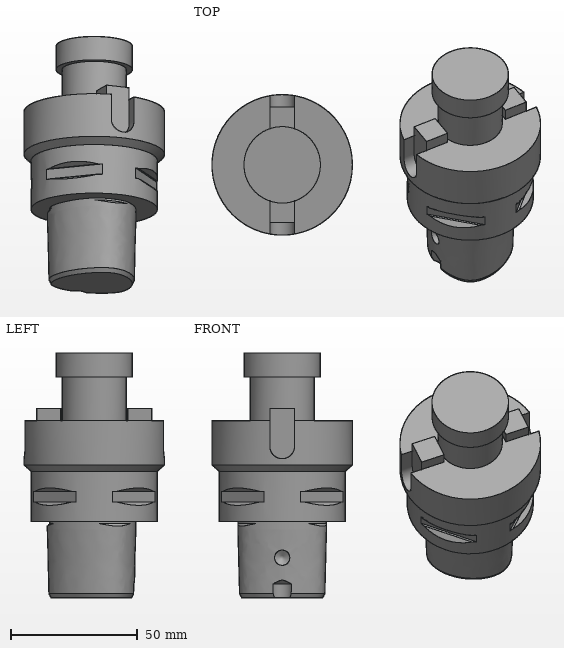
import cadquery as cq
import math

TOTAL_HEIGHT = 96.85
HEAD_BOTTOM = 87.3
KEY_TOP = 74.9
FLANGE_TOP = 70.0
FLANGE_BOTTOM = 52.6
BODY_TOP = 50.0
SHOULDER = 30.1
NECK_BOTTOM = 26.9
END_CHAMFER_HEIGHT = 1.7

HEAD_RADIUS = 15.1
PILOT_RADIUS = 12.7
FLANGE_RADIUS = 27.8
BODY_RADIUS = 25.0

KEY_WIDTH = 9.8
KEY_INNER = 13.2
KEY_OUTER = 22.8
SLOT_BOTTOM = 55.0

GRIP_HEIGHT = 40.0
GRIP_FLAT_DISTANCE = 22.0
GRIP_FLAT_HEIGHT = 4.2
GRIP_MOUTH_HEIGHT = 6.9
GRIP_LEDGE = 0.8

SHANK_RADIUS = 17.5
LOBE_RISE = 1.1
SHANK_TAPER = 1 / 40
END_CHAMFER = 0.9
PROFILE_POINTS = 72

RELIEF_RADIUS = 17.6
RELIEF_STRAIGHT = 0.8
RELIEF_HEIGHT = 2.2
RELIEF_OUTER = 19.4

DRILL_TIP_ANGLE = 118
HOLE_RADIUS = 3.0
HOLE_HEIGHT = 15.9
HOLE_BOTTOM_Y = 12.8
NOTCH_RADIUS = 4.1
NOTCH_HEIGHT = 5.5
NOTCH_CENTER_Y = 17.5

CLEARANCE = 9.7


def lobed_wire(radius, height):
    """Constant-width outline with a lobe toward +Y, from its support function."""
    points = []
    for i in range(PROFILE_POINTS):
        angle = 2 * math.pi * i / PROFILE_POINTS
        phase = 3 * (angle - math.pi / 2)
        support = radius + LOBE_RISE * math.cos(phase)
        slope = -3 * LOBE_RISE * math.sin(phase)
        x = support * math.cos(angle) - slope * math.sin(angle)
        y = support * math.sin(angle) + slope * math.cos(angle)
        points.append(cq.Vector(x, y, height))
    return cq.Wire.assembleEdges([cq.Edge.makeSpline(points, periodic=True)])


def lobed_section(bottom_radius, bottom, top_radius, top):
    wires = [lobed_wire(bottom_radius, bottom), lobed_wire(top_radius, top)]
    return cq.Workplane(obj=cq.Solid.makeLoft(wires, True))


def drill(radius, length):
    """Drill along +Z with its conical tip above the straight length."""
    tip = radius / math.tan(math.radians(DRILL_TIP_ANGLE / 2))
    outline = [(0, 0), (radius, 0), (radius, length), (0, length + tip)]
    return cq.Workplane("XZ").polyline(outline).close().revolve(360, (0, 0), (0, 1))


def upper_part():
    outline = [
        (0, SHOULDER),
        (BODY_RADIUS, SHOULDER),
        (BODY_RADIUS, BODY_TOP),
        (FLANGE_RADIUS, FLANGE_BOTTOM),
        (FLANGE_RADIUS, FLANGE_TOP),
        (PILOT_RADIUS, FLANGE_TOP),
        (PILOT_RADIUS, HEAD_BOTTOM),
        (HEAD_RADIUS, HEAD_BOTTOM),
        (HEAD_RADIUS, TOTAL_HEIGHT),
        (0, TOTAL_HEIGHT),
    ]
    return cq.Workplane("XZ").polyline(outline).close().revolve(360, (0, 0), (0, 1))


def shank():
    chamfer_radius = SHANK_RADIUS - SHANK_TAPER * (NECK_BOTTOM - END_CHAMFER_HEIGHT)
    end_radius = chamfer_radius - END_CHAMFER
    end = lobed_section(end_radius, 0, chamfer_radius, END_CHAMFER_HEIGHT)
    taper = lobed_section(chamfer_radius, END_CHAMFER_HEIGHT, SHANK_RADIUS, NECK_BOTTOM)
    neck = lobed_section(SHANK_RADIUS, NECK_BOTTOM, SHANK_RADIUS, SHOULDER)
    return end.union(taper).union(neck)


def lobe_relief():
    cone_height = RELIEF_HEIGHT - RELIEF_STRAIGHT
    outline = [
        (RELIEF_RADIUS, SHOULDER),
        (RELIEF_RADIUS, SHOULDER - RELIEF_STRAIGHT),
        (RELIEF_RADIUS + cone_height, SHOULDER - RELIEF_HEIGHT),
        (RELIEF_OUTER + cone_height, SHOULDER - RELIEF_HEIGHT),
        (RELIEF_OUTER + cone_height, SHOULDER),
    ]
    return cq.Workplane("XZ").polyline(outline).close().revolve(360, (0, 0), (0, 1))


def key_slot():
    """Round-bottomed slot on the -Y side, outside the key."""
    radius = KEY_WIDTH / 2
    center = SLOT_BOTTOM + radius
    top = FLANGE_TOP + CLEARANCE
    return (
        cq.Workplane("XZ", origin=(0, -KEY_OUTER, 0))
        .moveTo(-radius, top)
        .lineTo(-radius, center)
        .threePointArc((0, SLOT_BOTTOM), (radius, center))
        .lineTo(radius, top)
        .close()
        .extrude(CLEARANCE)
    )


def drive_key():
    """Part of the key on the -Y side that stands above the flange."""
    middle = (KEY_INNER + KEY_OUTER) / 2
    return (
        cq.Workplane("XY", origin=(0, -middle, FLANGE_TOP))
        .rect(KEY_WIDTH, KEY_OUTER - KEY_INNER)
        .extrude(KEY_TOP - FLANGE_TOP)
    )


def grip_groove():
    """Flat-bottomed groove with square, then flared walls on the +X side."""
    ledge_end = GRIP_FLAT_DISTANCE + GRIP_LEDGE
    depth = BODY_RADIUS - ledge_end
    flare = (GRIP_MOUTH_HEIGHT - GRIP_FLAT_HEIGHT) / 2 / depth
    outer = BODY_RADIUS + 1
    half_inner = GRIP_FLAT_HEIGHT / 2
    half_outer = half_inner + flare * (outer - ledge_end)
    outline = [
        (GRIP_FLAT_DISTANCE, GRIP_HEIGHT - half_inner),
        (ledge_end, GRIP_HEIGHT - half_inner),
        (outer, GRIP_HEIGHT - half_outer),
        (outer, GRIP_HEIGHT + half_outer),
        (ledge_end, GRIP_HEIGHT + half_inner),
        (GRIP_FLAT_DISTANCE, GRIP_HEIGHT + half_inner),
    ]
    return cq.Workplane("XZ").polyline(outline).close().extrude(BODY_RADIUS, both=True)


def side_hole():
    start = HOLE_BOTTOM_Y + CLEARANCE
    cutter = drill(HOLE_RADIUS, CLEARANCE)
    return cutter.rotate((0, 0, 0), (1, 0, 0), -90).translate((0, -start, HOLE_HEIGHT))


def end_notch():
    cutter = drill(NOTCH_RADIUS, NOTCH_HEIGHT + CLEARANCE)
    return cutter.translate((0, -NOTCH_CENTER_Y, -CLEARANCE))


def turned(shape, angle):
    return shape.rotate((0, 0, 0), (0, 0, 1), angle)


result = upper_part()
for quarter in range(4):
    result = result.cut(turned(grip_groove(), 45 + 90 * quarter))
for side_angle in (0, 180):
    result = result.cut(turned(key_slot(), side_angle))
    result = result.union(turned(drive_key(), side_angle))

drilled_shank = shank().cut(lobe_relief()).cut(side_hole()).cut(end_notch())
result = result.union(drilled_shank)